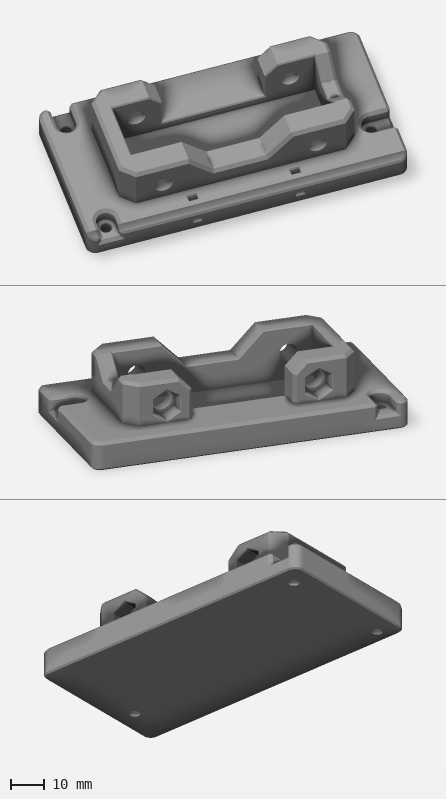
import cadquery as cq
import math

PLATE_X = 50.0
PLATE_Y = 100.0
PLATE_Z = 9.0
CORNER_RADIUS = 3.0
BOTTOM_CHAMFER = 0.5
PLATE_CHAMFER = 0.99

SCREW_DIAMETER = 3.4
POCKET_WIDTH = 6.0
POCKET_FLOOR_Z = 5.0
CORNER_POCKET_Y = -43.0
SCREW_POCKETS = [
    (-18.0, CORNER_POCKET_Y, (-1, 0)),
    (20.0, CORNER_POCKET_Y, (1, 0)),
    (10.0, 43.0, (0, 1)),
]

CABLE_X = 26.5
CABLE_Z = 10.2
CABLE_RADIUS = 3.7
GROOVE_CHAMFER = 0.5
TIE_INNER_RADIUS = 5.6
TIE_OUTER_RADIUS = 7.35
TIE_WIDTH = 2.8
TIE_Y = 16.0

MOUTH_CHAMFER = 0.3

TOTAL_Z = 22.6
CAVITY_X = 18.2
CAVITY_Y = 63.2
CAVITY_FLOOR_Z = 6.0
CAVITY_CHAMFER = 0.4
HOUSING_WALL_X = 8.05
HOUSING_WALL_Y = 5.1
HOUSING_X = CAVITY_X + 2 * HOUSING_WALL_X
HOUSING_Y = CAVITY_Y + 2 * HOUSING_WALL_Y
HOUSING_Z = TOTAL_Z - PLATE_Z
HOUSING_CORNER = 4.0
HOUSING_CHAMFER = 1.0

OPENING_HALF = 16.0
OPENING_BEVEL = 4.0
SIDE_NOTCH_HALF = 16.0
SIDE_NOTCH_DEPTH = 7.8
END_NOTCH_HALF = CAVITY_X / 2
END_NOTCH_DEPTH = 6.1

BOLT_DIAMETER = 5.5
BOLT_Y = 24.0
BOLT_Z = 14.5
NUT_FLATS = 8.4
NUT_DEPTH = 5.0

OVERSHOOT = 2.0
TOLERANCE = 1e-3


def close(a, b):
    return abs(a - b) < TOLERANCE



def rounded_plate():
    return (
        cq.Workplane("XY")
        .box(PLATE_X, PLATE_Y, PLATE_Z, centered=(True, True, False))
        .edges("|Z")
        .fillet(CORNER_RADIUS)
        .faces("<Z")
        .chamfer(BOTTOM_CHAMFER)
    )


def pocket_cutter(x, y, direction):
    """Round-ended slot from the screw hole out through the side of the plate."""
    dx, dy = direction
    reach = PLATE_X / 2
    height = PLATE_Z - POCKET_FLOOR_Z
    level = cq.Workplane("XY", (x, y, POCKET_FLOOR_Z))
    round_end = level.circle(POCKET_WIDTH / 2).extrude(height)
    channel = (
        level.center(dx * reach / 2, dy * reach / 2)
        .rect(reach if dx else POCKET_WIDTH, reach if dy else POCKET_WIDTH)
        .extrude(height)
    )
    return round_end.union(channel)


def is_pocket_mouth(edge):
    """True for the floor and side edges of a pocket where it leaves the plate."""
    c = edge.Center()
    on_side = close(abs(c.x), PLATE_X / 2) or close(c.y, PLATE_Y / 2)
    middle_z = (POCKET_FLOOR_Z + PLATE_Z) / 2
    return on_side and (close(c.z, POCKET_FLOOR_Z) or close(c.z, middle_z))


def pocketed_plate():
    plate = rounded_plate()
    for x, y, direction in SCREW_POCKETS:
        plate = plate.cut(pocket_cutter(x, y, direction))
    edges = plate.faces(">Z").edges().vals()
    edges += [edge for edge in plate.edges().vals() if is_pocket_mouth(edge)]
    return plate.newObject(edges).chamfer(PLATE_CHAMFER)


def is_groove_rim(edge):
    """True for the edges between the groove and the plate's +X side, corners included."""
    c = edge.Center()
    beside_groove = c.x > CABLE_X - CABLE_RADIUS and CABLE_Z - CABLE_RADIUS < c.z < PLATE_Z - TOLERANCE
    return beside_groove and abs(c.y) < PLATE_Y / 2 - TOLERANCE


def grooved_plate():
    """Plate with the cable groove alone, its outer rim chamfered."""
    groove = (
        cq.Workplane("XZ", (CABLE_X, PLATE_Y / 2, CABLE_Z))
        .circle(CABLE_RADIUS)
        .extrude(PLATE_Y)
    )
    plate = rounded_plate().cut(groove)
    rim = [edge for edge in plate.edges().vals() if is_groove_rim(edge)]
    return plate.newObject(rim).chamfer(GROOVE_CHAMFER)


def groove_flare(y, radius_start, radius_end):
    """Cone around the cable axis that bevels one end of the groove."""
    cone = cq.Solid.makeCone(
        radius_start,
        radius_end,
        PLATE_CHAMFER,
        cq.Vector(CABLE_X, y, CABLE_Z),
        cq.Vector(0, 1, 0),
    )
    return cq.Workplane(cone)


def tie_channel(y):
    """Curved slot around the cable, from the plate's top to its +X side."""
    return (
        cq.Workplane("XZ", (CABLE_X, y + TIE_WIDTH / 2, CABLE_Z))
        .circle(TIE_OUTER_RADIUS)
        .circle(TIE_INNER_RADIUS)
        .extrude(TIE_WIDTH)
    )


def tie_mouth(y):
    """Bevel around the tie channel's opening in the plate's top."""
    drop = CABLE_Z - PLATE_Z
    left = CABLE_X - math.sqrt(TIE_OUTER_RADIUS**2 - drop**2)
    right = CABLE_X - math.sqrt(TIE_INNER_RADIUS**2 - drop**2)
    return (
        cq.Workplane("XY", ((left + right) / 2, y, PLATE_Z))
        .rect(right - left + 2 * MOUTH_CHAMFER, TIE_WIDTH + 2 * MOUTH_CHAMFER)
        .extrude(-MOUTH_CHAMFER, taper=45)
    )


def base_plate():
    plate = pocketed_plate().intersect(grooved_plate())
    half_pocket = POCKET_WIDTH / 2
    flared = CABLE_RADIUS + PLATE_CHAMFER
    for y in (PLATE_Y / 2, CORNER_POCKET_Y - half_pocket):
        plate = plate.cut(groove_flare(y - PLATE_CHAMFER, CABLE_RADIUS, flared))
    for y in (-PLATE_Y / 2, CORNER_POCKET_Y + half_pocket):
        plate = plate.cut(groove_flare(y, flared, CABLE_RADIUS))
    for y in (-TIE_Y, TIE_Y):
        plate = plate.cut(tie_channel(y)).cut(tie_mouth(y))
    return plate



def notch_outline(half_width, depth):
    """Notch with 45 degree sides, carried on above the top of the housing."""
    bottom_half = half_width - depth
    bottom_z = TOTAL_Z - depth
    return [
        (-half_width - OVERSHOOT, TOTAL_Z + OVERSHOOT),
        (-bottom_half, bottom_z),
        (bottom_half, bottom_z),
        (half_width + OVERSHOOT, TOTAL_Z + OVERSHOOT),
    ]


def opening_outline():
    """Gap down to the plate with bevelled top corners, carried on above the housing."""
    bevel_z = TOTAL_Z - OPENING_BEVEL
    top_half = OPENING_HALF + OPENING_BEVEL + OVERSHOOT
    return [
        (-OPENING_HALF, PLATE_Z),
        (-OPENING_HALF, bevel_z),
        (-top_half, TOTAL_Z + OVERSHOOT),
        (top_half, TOTAL_Z + OVERSHOOT),
        (OPENING_HALF, bevel_z),
        (OPENING_HALF, PLATE_Z),
    ]


WALL_OPENINGS = [
    (notch_outline(SIDE_NOTCH_HALF, SIDE_NOTCH_DEPTH), 0, CAVITY_X / 2),
    (notch_outline(END_NOTCH_HALF, END_NOTCH_DEPTH), 90, CAVITY_Y / 2),
    (opening_outline(), 180, CAVITY_X / 2),
]


def opening_cutter(outline, turn, inner_face):
    """Prism through one wall, from its inner face outwards."""
    prism = cq.Workplane("YZ", (inner_face, 0, 0)).polyline(outline).close().extrude(HOUSING_WALL_X)
    return prism.rotate((0, 0, 0), (0, 0, 1), turn)


def opening_bevel(outline, turn, inner_face):
    """Tapered prism that chamfers the inner edge of one wall opening."""
    prism = (
        cq.Workplane("YZ", (inner_face, 0, 0))
        .polyline(outline)
        .close()
        .offset2D(CAVITY_CHAMFER, "intersection")
        .extrude(CAVITY_CHAMFER, taper=45)
    )
    return prism.rotate((0, 0, 0), (0, 0, 1), turn)


def is_outer_rim(edge):
    """True for the housing's upper outside edges and the upright ones beside the opening."""
    c = edge.Center()
    if edge.BoundingBox().zmax < PLATE_Z + TOLERANCE:
        return False
    half_x = HOUSING_X / 2
    half_y = HOUSING_Y / 2
    corner_sum = half_x + half_y - HOUSING_CORNER
    upright = close(edge.BoundingBox().zlen, edge.Length())
    if upright:
        return close(abs(c.y), OPENING_HALF) and close(c.x, -half_x)
    return close(abs(c.x), half_x) or close(abs(c.y), half_y) or close(abs(c.x) + abs(c.y), corner_sum)


def housing_shell():
    shell = (
        cq.Workplane("XY", (0, 0, PLATE_Z))
        .box(HOUSING_X, HOUSING_Y, HOUSING_Z, centered=(True, True, False))
        .edges("|Z")
        .chamfer(HOUSING_CORNER)
    )
    for wall_opening in WALL_OPENINGS:
        shell = shell.cut(opening_cutter(*wall_opening))
    rim = [edge for edge in shell.edges().vals() if is_outer_rim(edge)]
    return shell.newObject(rim).chamfer(HOUSING_CHAMFER)


def cut_cavity(body):
    """Cavity between the housing walls, sunk into the plate, with all its upper edges chamfered."""
    cavity = (
        cq.Workplane("XY", (0, 0, CAVITY_FLOOR_Z))
        .rect(CAVITY_X, CAVITY_Y)
        .extrude(TOTAL_Z - CAVITY_FLOOR_Z)
    )
    rim = (
        cq.Workplane("XY", (0, 0, TOTAL_Z))
        .rect(CAVITY_X + 2 * CAVITY_CHAMFER, CAVITY_Y + 2 * CAVITY_CHAMFER)
        .extrude(-CAVITY_CHAMFER, taper=45)
    )
    body = body.cut(cavity).cut(rim)
    for wall_opening in WALL_OPENINGS:
        body = body.cut(opening_bevel(*wall_opening))
    return body



def chamfered_hole(level, diameter, depth):
    """Round hole that starts at a workplane and has a chamfered mouth there."""
    bore = level.circle(diameter / 2).extrude(depth)
    mouth = level.circle(diameter / 2 + MOUTH_CHAMFER).extrude(math.copysign(MOUTH_CHAMFER, depth), taper=45)
    return bore.union(mouth)


def nut_pocket(y):
    """Hexagonal pocket with two upright flats and a chamfered mouth."""
    level = cq.Workplane("YZ", (-HOUSING_X / 2, y, BOLT_Z)).transformed(rotate=(0, 0, 90))
    across_corners = NUT_FLATS / math.cos(math.pi / 6)
    mouth_corners = (NUT_FLATS + 2 * MOUTH_CHAMFER) / math.cos(math.pi / 6)
    pocket = level.polygon(6, across_corners).extrude(NUT_DEPTH)
    mouth = level.polygon(6, mouth_corners).extrude(MOUTH_CHAMFER, taper=45)
    return pocket.union(mouth)


def cut_holes(body):
    for y in (-BOLT_Y, BOLT_Y):
        nut_seat = cq.Workplane("YZ", (NUT_DEPTH - HOUSING_X / 2, y, BOLT_Z))
        body = body.cut(chamfered_hole(nut_seat, BOLT_DIAMETER, HOUSING_X))
        body = body.cut(nut_pocket(y))
    for x, y, _ in SCREW_POCKETS:
        pocket_floor = cq.Workplane("XY", (x, y, POCKET_FLOOR_Z))
        body = body.cut(chamfered_hole(pocket_floor, SCREW_DIAMETER, -POCKET_FLOOR_Z))
    return body


result = cut_holes(cut_cavity(base_plate().union(housing_shell())))